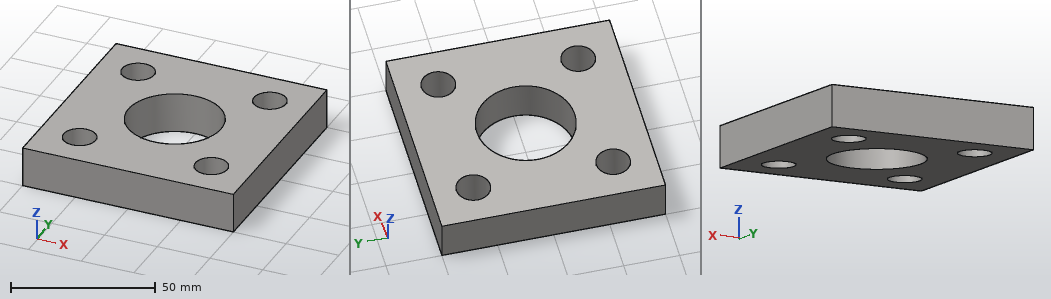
import cadquery as cq

side = 80.0
thickness = 15.0
bore_diameter = 35.0
bolt_hole_diameter = 12.0
bolt_spacing = 50.0

plate = cq.Workplane("XY").box(side, side, thickness)

bored_plate = plate.faces(">Z").workplane().hole(bore_diameter)

result = (
    bored_plate.faces(">Z")
    .workplane()
    .rarray(bolt_spacing, bolt_spacing, 2, 2)
    .hole(bolt_hole_diameter)
)